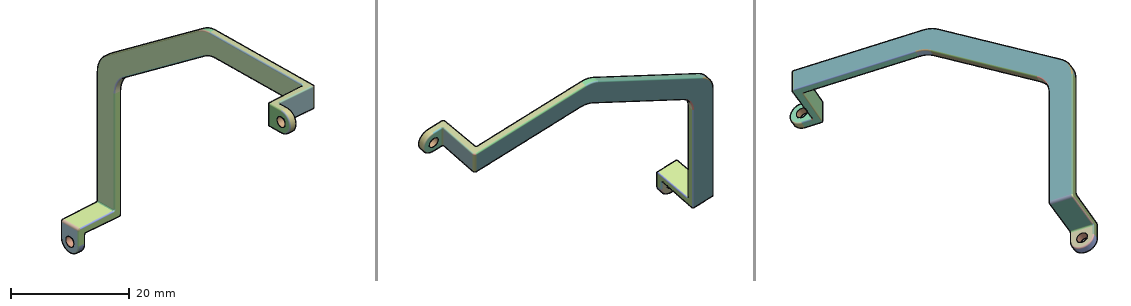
import cadquery as cq
import math

length = 57.1
depth = 9.75
height = 51.85

strip_width = 4.5
thickness = 1.5
long_edge_radius = 0.2
outer_fold_radius = 0.45
inner_fold_radius = 0.2
leg_front_thickness = 1.35
leg_back_thickness = 1.6

lower_corner_z = 34.2
upper_corner_x = 26.6
bend_radius = 5.0

tab_length = 4.3
stub_length = 3.4
hole_diameter = 2.0

tab_radius = strip_width / 2
leg_outer_x = length - tab_length
leg_outer_z = tab_length
strip_end_x = leg_outer_x - stub_length
strip_end_z = leg_outer_z + stub_length
slope_angle = math.atan2(height - lower_corner_z, upper_corner_x)
lower_shift = strip_width * math.tan((math.pi / 2 - slope_angle) / 2)
upper_shift = strip_width * math.tan(slope_angle / 2)


def bent_strip():
    """Flat strip at the back with two rounded bends."""
    outline = [
        (0, strip_end_z),
        (0, lower_corner_z),
        (upper_corner_x, height),
        (strip_end_x, height),
        (strip_end_x, height - strip_width),
        (upper_corner_x + upper_shift, height - strip_width),
        (strip_width, lower_corner_z - lower_shift),
        (strip_width, strip_end_z),
    ]
    strip = cq.Workplane("XZ", origin=(0, depth, 0)).polyline(outline).close().extrude(thickness)
    bends = strip.edges("|Y").edges(
        cq.selectors.BoxSelector(
            (-0.55, 0, strip_end_z + 0.55),
            (strip_end_x - 0.55, depth, height + 0.55),
        )
    )
    return bends.fillet(bend_radius)


def folded_end():
    """Stub of the strip, leg folded forward and tab folded outward.

    The leg's outer face lies at X = 0, the tab points along +X and the width
    rises from Z = 0. The leg thickens slightly toward the strip.
    """
    back_corner = (0, depth)
    outer_corner = (0, thickness)
    front_corner = (-leg_front_thickness, 0)
    inner_corner = (-leg_back_thickness, depth - thickness)
    tip_center = (tab_length - tab_radius, tab_radius)
    profile = [
        back_corner,
        outer_corner,
        (tip_center[0], thickness),
        (tip_center[0], 0),
        front_corner,
        inner_corner,
        (-stub_length, depth - thickness),
        (-stub_length, depth),
    ]
    end = cq.Workplane("XY").polyline(profile).close().extrude(strip_width)

    folds = [
        (back_corner, outer_fold_radius),
        (front_corner, outer_fold_radius),
        (outer_corner, inner_fold_radius),
        (inner_corner, inner_fold_radius),
    ]
    for (x, y), radius in folds:
        fold_edge = cq.selectors.NearestToPointSelector((x, y, strip_width / 2))
        end = end.edges("|Z").edges(fold_edge).fillet(radius)

    tip = cq.Workplane("XZ").center(*tip_center).circle(tab_radius).extrude(-thickness)
    return end.union(tip)


right_end = folded_end().translate((leg_outer_x, 0, height - strip_width))
lower_end = folded_end().rotate((0, 0, 0), (0, 1, 0), 90).translate((0, 0, leg_outer_z))
body = bent_strip().union(right_end).union(lower_end).clean()

leg_height = (lower_corner_z + leg_outer_z) / 2
for y in (depth - thickness, depth):
    rim_start = cq.selectors.NearestToPointSelector((0, y, leg_height))
    body = body.edges(rim_start).fillet(long_edge_radius)

hole_centers = [(length - tab_radius, height - tab_radius), (tab_radius, tab_radius)]
holes = (
    cq.Workplane("XZ")
    .pushPoints(hole_centers)
    .circle(hole_diameter / 2)
    .extrude(-thickness)
)
result = body.cut(holes)